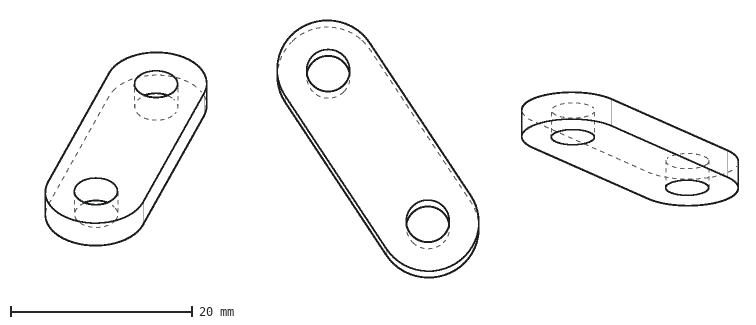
import cadquery as cq

length = 31.75
width = 11.1
thickness = 3.18
hole_diameter = 4.75
hole_spacing = 20.32

plate = cq.Workplane("XY").slot2D(length, width, 90).extrude(thickness)

hole_centres = [(0, side * hole_spacing / 2) for side in (-1, 1)]
result = plate.faces(">Z").workplane(origin=(0, 0, 0)).pushPoints(hole_centres).hole(hole_diameter)